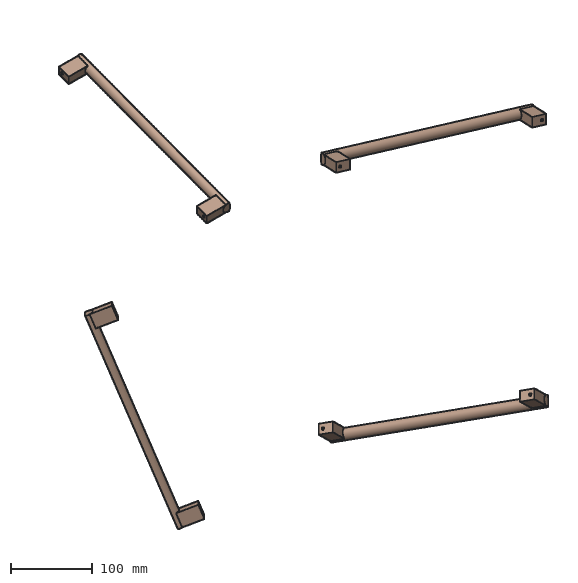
import cadquery as cq
import math

length = 300.0
depth = 36.0
bar_height = 16.0

bar_radius = bar_height / 2
bar_axis_inset = 3.0
crown_rise = 1.5
corner_radius = 1.5

leg_width = 20.0
leg_height = 14.0

hole_diameter = 3.3
hole_depth = 12.0
drill_point_angle = 118.0
hole_inset = 6.0

bar_axis_y = depth - bar_axis_inset


def make_bar():
    """Grip bar with a half-round back and rounded front corners."""
    corner_y = depth - crown_rise
    return (
        cq.Workplane("YZ", origin=(-length / 2, 0, 0))
        .moveTo(corner_y, -bar_radius)
        .lineTo(bar_axis_y, -bar_radius)
        .threePointArc((bar_axis_y - bar_radius, 0), (bar_axis_y, bar_radius))
        .lineTo(corner_y, bar_radius)
        .threePointArc((depth, 0), (corner_y, -bar_radius))
        .close()
        .extrude(length)
        .faces(">Y").edges("|X")
        .fillet(corner_radius)
    )


def make_leg(side, bar):
    """Leg at one end of the bar (side is -1 or 1), hollowed to seat the bar."""
    leg_x = side * (length - leg_width) / 2
    hole_x = side * (length / 2 - hole_inset)
    block = (
        cq.Workplane("XY")
        .box(leg_width, bar_axis_y, leg_height, centered=(True, False, True))
        .translate((leg_x, 0, 0))
    )
    hole_radius = hole_diameter / 2
    point_length = hole_radius / math.tan(math.radians(drill_point_angle / 2))
    hole = (
        cq.Workplane("XY")
        .polyline([(0, 0), (hole_radius, 0), (hole_radius, hole_depth), (0, hole_depth + point_length)])
        .close()
        .revolve(360, (0, 0), (0, 1))
        .translate((hole_x, 0, 0))
    )
    return block.cut(bar).cut(hole)


bar = make_bar()
legs = [make_leg(side, bar) for side in (-1, 1)]

result = cq.Compound.makeCompound([bar.val(), *[leg.val() for leg in legs]])